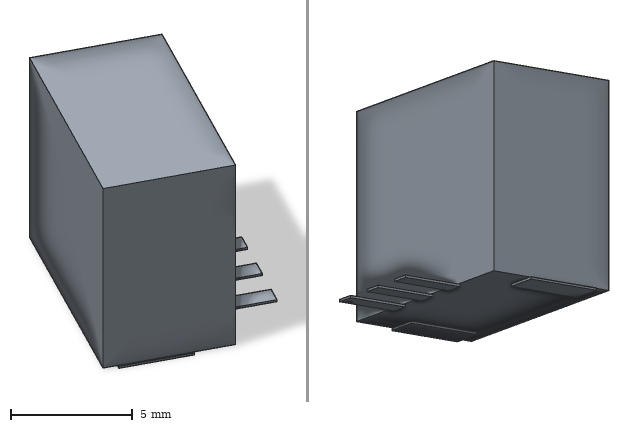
import cadquery as cq

overall_width = 10.14
overall_depth = 8.3
overall_height = 9.0

sheet_thickness = 0.1

housing_width = 10.0
housing_depth = 5.7
housing_height = overall_height - sheet_thickness

pin_count = 3
pin_width = 0.8
pin_pitch = 2.0
pin_overlap = 0.1
pin_length = overall_depth - housing_depth + pin_overlap

pad_width = 1.44
pad_depth = 3.24
pad_front_offset = 0.66


def make_housing():
    return cq.Workplane("XY").box(
        housing_width, housing_depth, housing_height, centered=(True, False, False)
    )


def make_sheet(width, depth, center_x, front_y):
    """Flat rectangular sheet whose top face touches the housing underside."""
    return (
        cq.Workplane("XY")
        .box(width, depth, sheet_thickness, centered=(True, False, False))
        .translate((center_x, front_y, -sheet_thickness))
    )


def make_pin(index):
    center_x = (index - (pin_count - 1) / 2) * pin_pitch
    return make_sheet(pin_width, pin_length, center_x, housing_depth - pin_overlap)


def make_pad(side):
    """Mounting pad on the left (side = -1) or the right (side = 1)."""
    center_x = side * (overall_width - pad_width) / 2
    return make_sheet(pad_width, pad_depth, center_x, pad_front_offset)


housing = make_housing()
pins = [make_pin(index) for index in range(pin_count)]
pads = [make_pad(side) for side in (-1, 1)]

result = cq.Compound.makeCompound(
    [housing.val()] + [pin.val() for pin in pins] + [pad.val() for pad in pads]
)